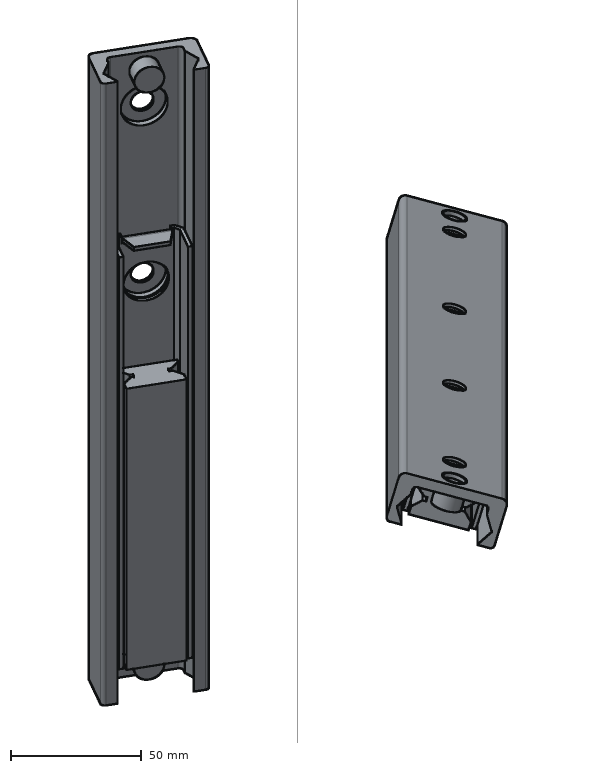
import cadquery as cq
import math


rail_length = 290.0
rail_width = 43.0
rail_depth = 21.0
web_thickness = 4.4
back_corner_radius = 2.5
lip_corner_radius = 1.7
channel_half_width = 15.0
channel_corner_radius = 1.7

track_x = 14.2
outer_track_half_span = 6.5
outer_track_depth = 3.8

hole_diameter = 9.0
counterbore_diameter = 18.5
hole_rim_thickness = 1.5
hole_pitch = 80.0
first_hole_z = 25.0
hole_count = 4
pin_hole_diameter = 10.0
pin_end_offset = 8.0

pin_head_diameter = 12.0
pin_head_length = 7.2
pin_shank_diameter = 10.0
pin_recess_depth = 2.0
pin_recess_diameter = 9.0

inner_bottom_z = 16.0
inner_top_z = 147.0
inner_back_x = 8.5
inner_front_x = 22.0
inner_half_width = 12.0
inner_track_half_span = 4.4
track_relief_half_width = 1.0
track_relief_depth = 5.0

cage_top_z = 208.0
cage_sheet = 1.7
cage_back_x = 5.5
cage_half_width = 14.5
cage_bevel = 3.0
cage_hole_diameter = 18.0
cage_hole_index = 2

tab_end_x = 15.7
tab_root_half_width = 10.0
tab_tip_half_width = 7.2
tab_bend_radius = 3.5


def x_cylinder(diameter, x_start, length, z):
    """A cylinder along +X on the slide's middle plane."""
    return (
        cq.Workplane("YZ", origin=(x_start, 0, z))
        .circle(diameter / 2)
        .extrude(length)
    )


def mounting_hole_z(index):
    return first_hole_z + index * hole_pitch


def pin_heights():
    return [pin_end_offset, rail_length - pin_end_offset]


def make_outer_rail():
    """Channel open toward +X, with a V-shaped ball track inside each flange."""
    blank = cq.Workplane("XY").box(
        rail_depth, rail_width, rail_length, centered=(False, True, False)
    )
    blank = blank.edges("|Z and <X").fillet(back_corner_radius)
    blank = blank.edges("|Z and >X").fillet(lip_corner_radius)

    channel = (
        cq.Workplane("XY", origin=(web_thickness, 0, 0))
        .box(rail_depth, 2 * channel_half_width, rail_length, centered=(False, True, False))
        .edges("|Z and <X")
        .fillet(channel_corner_radius)
    )
    rail = blank.cut(channel)

    for side in (1, -1):
        track = (
            cq.Workplane("XY")
            .polyline([
                (track_x - outer_track_half_span, side * channel_half_width),
                (track_x, side * (channel_half_width + outer_track_depth)),
                (track_x + outer_track_half_span, side * channel_half_width),
            ])
            .close()
            .extrude(rail_length)
        )
        rail = rail.cut(track)

    counterbore_depth = web_thickness - hole_rim_thickness
    for index in range(hole_count):
        hole_z = mounting_hole_z(index)
        rail = rail.cut(x_cylinder(hole_diameter, 0, web_thickness, hole_z))
        rail = rail.cut(
            x_cylinder(counterbore_diameter, hole_rim_thickness, counterbore_depth, hole_z)
        )
    for pin_z in pin_heights():
        rail = rail.cut(x_cylinder(pin_hole_diameter, 0, web_thickness, pin_z))
    return rail


def make_inner_rail():
    """Solid bar with a 45 degree ball track and a square relief along each side."""
    relief_start_y = inner_half_width - (inner_track_half_span - track_relief_half_width)
    relief_floor_y = inner_half_width - track_relief_depth
    half_outline = [
        (inner_back_x, inner_half_width),
        (track_x - inner_track_half_span, inner_half_width),
        (track_x - track_relief_half_width, relief_start_y),
        (track_x - track_relief_half_width, relief_floor_y),
        (track_x + track_relief_half_width, relief_floor_y),
        (track_x + track_relief_half_width, relief_start_y),
        (track_x + inner_track_half_span, inner_half_width),
        (inner_front_x, inner_half_width),
    ]
    mirrored = [(x, -y) for x, y in reversed(half_outline)]
    return (
        cq.Workplane("XY", origin=(0, 0, inner_bottom_z))
        .polyline(half_outline + mirrored)
        .close()
        .extrude(inner_top_z - inner_bottom_z)
    )


def cage_outline(inset):
    """Bevelled channel outline, moved inward by the given sheet inset."""
    back_x = cage_back_x + inset
    half_width = cage_half_width - inset
    bevel = cage_bevel - inset * (2 - math.sqrt(2))
    half_outline = [
        (rail_depth, half_width),
        (back_x + bevel, half_width),
        (back_x, half_width - bevel),
    ]
    mirrored = [(x, -y) for x, y in reversed(half_outline)]
    return (
        cq.Workplane("XY", origin=(0, 0, inner_bottom_z))
        .polyline(half_outline + mirrored)
        .close()
    )


def make_stop_tab():
    """Bent strip in XZ, trimmed to a taper in plan."""
    bend_x = cage_back_x + tab_bend_radius
    bend_z = cage_top_z - tab_bend_radius
    inner_radius = tab_bend_radius - cage_sheet
    diagonal = math.sqrt(0.5)
    strip = (
        cq.Workplane("XZ")
        .moveTo(cage_back_x, bend_z)
        .threePointArc(
            (bend_x - tab_bend_radius * diagonal, bend_z + tab_bend_radius * diagonal),
            (bend_x, cage_top_z),
        )
        .lineTo(tab_end_x, cage_top_z)
        .lineTo(tab_end_x, cage_top_z - cage_sheet)
        .lineTo(bend_x, cage_top_z - cage_sheet)
        .threePointArc(
            (bend_x - inner_radius * diagonal, bend_z + inner_radius * diagonal),
            (cage_back_x + cage_sheet, bend_z),
        )
        .close()
        .extrude(tab_root_half_width, both=True)
    )
    plan = (
        cq.Workplane("XY")
        .polyline([
            (cage_back_x, tab_root_half_width),
            (bend_x, tab_root_half_width),
            (tab_end_x, tab_tip_half_width),
            (tab_end_x, -tab_tip_half_width),
            (bend_x, -tab_root_half_width),
            (cage_back_x, -tab_root_half_width),
        ])
        .close()
        .extrude(rail_length)
    )
    return strip.intersect(plan)


def make_cage():
    """Bent-sheet channel with an access hole and a stop tab folded out of its web."""
    height = cage_top_z - inner_bottom_z
    channel = cage_outline(0).extrude(height).cut(cage_outline(cage_sheet).extrude(height))
    bend_z = cage_top_z - tab_bend_radius
    window = cq.Workplane("XY", origin=(cage_back_x, 0, bend_z)).box(
        cage_sheet, 2 * tab_root_half_width, cage_top_z - bend_z, centered=(False, True, False)
    )
    access_hole = x_cylinder(
        cage_hole_diameter, cage_back_x, cage_sheet, mounting_hole_z(cage_hole_index)
    )
    return channel.cut(window).cut(access_hole).union(make_stop_tab())


def make_stop_pin(pin_z):
    """Head inside the channel, on a shank that fills the web and is hollow at its outer end."""
    head = x_cylinder(pin_head_diameter, web_thickness, pin_head_length, pin_z)
    shank = x_cylinder(pin_shank_diameter, 0, web_thickness, pin_z)
    recess = x_cylinder(pin_recess_diameter, 0, pin_recess_depth, pin_z)
    return head.union(shank).cut(recess)


outer_rail = make_outer_rail()
inner_rail = make_inner_rail()
cage = make_cage()
stop_pins = [make_stop_pin(pin_z) for pin_z in pin_heights()]

result = cq.Compound.makeCompound(
    [outer_rail.val(), inner_rail.val(), cage.val(), *[pin.val() for pin in stop_pins]]
)